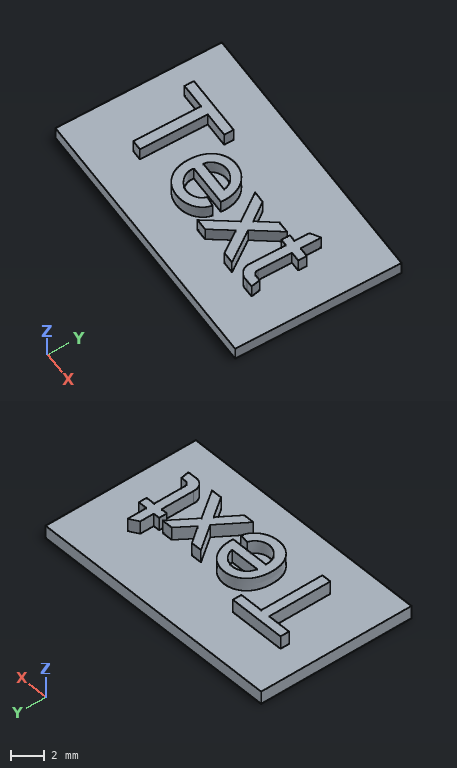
import cadquery as cq

plate_length = 20.0
plate_width = 12.0
plate_thickness = 1.0

letter_height = 1.0
baseline = -3.0
cap_line = 2.55
x_line = 1.05

t_cap_left = -7.8
t_cap_right = -3.38
t_cap_bar_thickness = 0.68
t_cap_stem_width = 0.75

e_left = -2.95
e_right = 0.8
e_top = 1.28
e_bottom = -3.05
e_center_x = -1.05
e_middle_y = -0.92
e_bar_bottom = -1.05
e_bar_top = -0.38
e_inner_left = -2.22
e_inner_top = 0.6
e_inner_bottom = -2.35
e_bowl_right = 0.1
e_tail_outer = (0.75, -1.65)
e_tail_inner = (0.05, -1.55)

x_center = 3.1
x_top_half_width = 1.78
x_bottom_half_width = 1.92
x_arm_width = 0.85
x_waist_half_width = 0.4
x_waist_y = -0.85
x_upper_notch_y = -0.22
x_lower_notch_y = -1.48

t_stem_left = 5.7
t_stem_right = 6.38
t_bar_left = 5.2
t_bar_right = 7.08
t_bar_bottom = 0.45
t_slant_drop = 0.42
t_foot_tip = 7.2
t_foot_top = -2.35
t_foot_bend_end = 6.65
t_inner_bend_end = 6.72
t_outer_bend_middle = (5.95, -2.78)
t_inner_bend_middle = (6.48, -2.25)
t_outer_bend_start = -2.1
t_inner_bend_start = -2.02


def start_letter(x, y):
    """Begin a letter outline on the top face of the plate."""
    return cq.Workplane("XY", origin=(0, 0, plate_thickness)).moveTo(x, y)


def raise_letter(outline):
    return outline.close().extrude(letter_height)


def mirrored_points(right_points, axis_x):
    """Complete a symmetric outline from its right half, listed top to bottom."""
    left_points = [(2 * axis_x - x, y) for x, y in reversed(right_points) if x != axis_x]
    return right_points + left_points


def make_capital_t():
    axis_x = (t_cap_left + t_cap_right) / 2
    stem_right = axis_x + t_cap_stem_width / 2
    bar_bottom = cap_line - t_cap_bar_thickness
    points = mirrored_points([
        (t_cap_right, cap_line),
        (t_cap_right, bar_bottom),
        (stem_right, bar_bottom),
        (stem_right, baseline),
    ], axis_x)
    return raise_letter(start_letter(*points[0]).polyline(points[1:], includeCurrent=True))


def make_e():
    outer_curve = [
        (0.75, -0.25), (0.45, 0.45), (-0.15, 1.05),
        (e_center_x, e_top),
        (-1.88, 1.1), (-2.45, 0.65), (-2.85, -0.08),
        (e_left, e_middle_y),
        (-2.85, -1.78), (-2.45, -2.45), (-1.85, -2.9),
        (e_center_x, e_bottom),
        (-0.32, -2.9), (0.28, -2.52),
        e_tail_outer,
    ]
    inner_curve = [
        (-0.35, -2.12),
        (e_center_x, e_inner_bottom),
        (-1.85, -2.02),
        (e_inner_left, e_bar_bottom),
    ]
    bowl_curve = [
        (-1.82, 0.35),
        (e_center_x, e_inner_top),
        (-0.25, 0.25),
        (e_bowl_right, e_bar_top),
    ]
    body = raise_letter(
        start_letter(e_right, e_bar_bottom)
        .spline(outer_curve, includeCurrent=True)
        .lineTo(*e_tail_inner)
        .spline(inner_curve, includeCurrent=True)
    )
    bowl = raise_letter(
        start_letter(e_inner_left, e_bar_top)
        .spline(bowl_curve, includeCurrent=True)
    )
    return body.cut(bowl)


def make_x():
    top_right = x_center + x_top_half_width
    bottom_right = x_center + x_bottom_half_width
    points = mirrored_points([
        (x_center, x_upper_notch_y),
        (top_right - x_arm_width, x_line),
        (top_right, x_line),
        (x_center + x_waist_half_width, x_waist_y),
        (bottom_right, baseline),
        (bottom_right - x_arm_width, baseline),
        (x_center, x_lower_notch_y),
    ], x_center)
    return raise_letter(start_letter(*points[0]).polyline(points[1:], includeCurrent=True))


def make_small_t():
    return raise_letter(
        start_letter(t_stem_right, cap_line)
        .lineTo(t_stem_right, x_line)
        .lineTo(t_bar_right, x_line)
        .lineTo(t_bar_right, t_bar_bottom)
        .lineTo(t_stem_right, t_bar_bottom)
        .lineTo(t_stem_right, t_inner_bend_start)
        .threePointArc(t_inner_bend_middle, (t_inner_bend_end, t_foot_top))
        .lineTo(t_bar_right, t_foot_top)
        .lineTo(t_foot_tip, baseline)
        .lineTo(t_foot_bend_end, baseline)
        .threePointArc(t_outer_bend_middle, (t_stem_left, t_outer_bend_start))
        .lineTo(t_stem_left, t_bar_bottom)
        .lineTo(t_bar_left, t_bar_bottom)
        .lineTo(t_bar_left, x_line)
        .lineTo(t_stem_left, x_line)
        .lineTo(t_stem_left, cap_line - t_slant_drop)
    )


plate = cq.Workplane("XY").box(plate_length, plate_width, plate_thickness, centered=(True, True, False))
result = plate
for letter in (make_capital_t(), make_e(), make_x(), make_small_t()):
    result = result.union(letter)